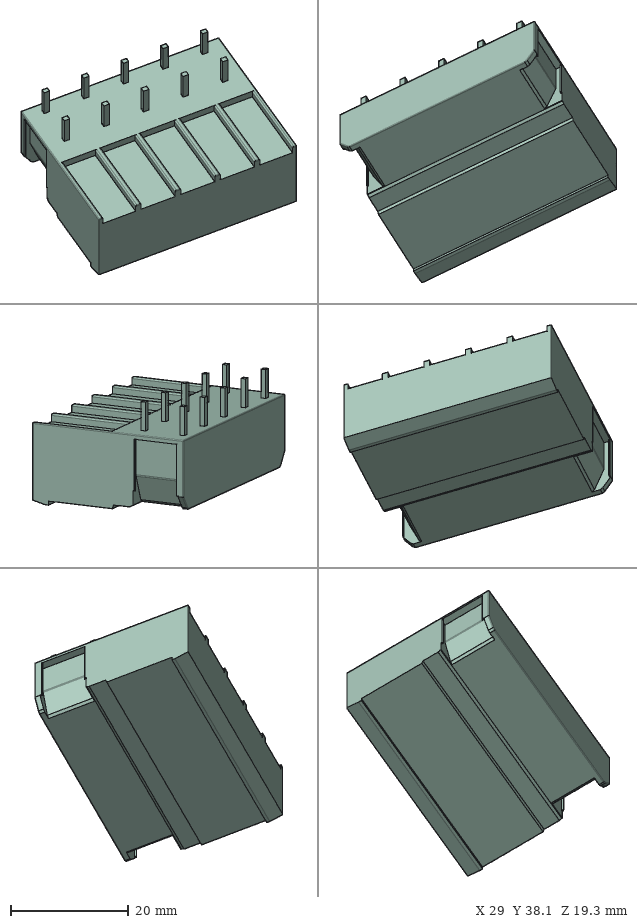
import cadquery as cq
import math

length_x = 29.0
width_y = 38.1
body_top = 14.2
total_height = 19.28
edge_radius = 0.15

front_bottom = 1.7
ledge_start = 9.83
ledge_end = 10.33
ledge_bottom = 1.4
step_start = 13.4
step_end = 13.65
rear_bottom = 0.72
lip_start = 25.95
lip_flat_end = 26.5
lip_rear_bottom = 0.57

pole_count = 5
pole_pitch = 7.62

pin_rows_x = (1.95, 9.4)
pin_size_x = 0.85
pin_size_y = 1.03
pin_embed = 0.4

recess_start = 14.02
recess_depth = 1.37
recess_width = 6.55
end_wall_width = 0.8
rim_radius = 0.25

cavity_left = 1.03
cavity_right = 9.7
cavity_top = 13.4
window_left = 1.45
window_right = 9.35
window_bottom = 4.3
window_lip = 0.23
window_chamfer = 0.15
back_depth = 1.22
back_bottom = 6.9
slope_top = 6.63
slope_top_depth = 1.25
slope_bottom = 2.15
slope_bottom_depth = 2.97
slope_edge_depth = 3.43

corner_cut_top = 4.23
corner_cut_bottom = 2.05
corner_cut_width = 1.45
corner_edge_width = 1.9


def make_body():
    """Extrude the stepped side outline and break its outer edges."""
    outline = [
        (0, front_bottom),
        (ledge_start, front_bottom),
        (ledge_end, ledge_bottom),
        (step_start, ledge_bottom),
        (step_end, rear_bottom),
        (lip_start, rear_bottom),
        (lip_start, 0),
        (lip_flat_end, 0),
        (length_x, lip_rear_bottom),
        (length_x, body_top),
        (0, body_top),
    ]
    body = cq.Workplane("XZ").polyline(outline).close().extrude(-width_y)
    corner = (
        cq.Workplane("YZ")
        .polyline([
            (0, front_bottom),
            (corner_edge_width, front_bottom),
            (corner_cut_width, corner_cut_bottom),
            (0, corner_cut_top),
        ])
        .close()
        .extrude(cavity_left)
    )
    body = body.cut(corner).cut(mirror_across_width(corner))
    rear_edges = body.edges("|Z and >X")
    return body.faces("<X or >Z").edges().add(rear_edges).fillet(edge_radius)


def mirror_across_width(shape):
    """Mirror a shape to the opposite Y side of the body."""
    return shape.mirror("XZ", (0, width_y / 2, 0))


def pole_centres():
    """Y positions of the pole centres."""
    first = (width_y - (pole_count - 1) * pole_pitch) / 2
    return [first + index * pole_pitch for index in range(pole_count)]


def make_recess(centre_y):
    """Recess with a rounded rim along both sides, open at the +X end."""
    near = max(centre_y - recess_width / 2, end_wall_width)
    far = min(centre_y + recess_width / 2, width_y - end_wall_width)
    floor = body_top - recess_depth
    round_start = body_top - rim_radius
    arc_rise = rim_radius * math.sqrt(0.5)
    arc_inset = rim_radius - arc_rise
    return (
        cq.Workplane("YZ", origin=(recess_start, 0, 0))
        .moveTo(near, floor)
        .lineTo(far, floor)
        .lineTo(far, round_start)
        .threePointArc((far + arc_inset, round_start + arc_rise), (far + rim_radius, body_top))
        .lineTo(near - rim_radius, body_top)
        .threePointArc((near - arc_inset, round_start + arc_rise), (near, round_start))
        .close()
        .extrude(length_x - recess_start)
    )


def make_cavity():
    """Cavity that deepens downwards and opens through the underside."""
    section = [
        (0, 0),
        (0, cavity_top),
        (back_depth, cavity_top),
        (back_depth, back_bottom),
        (slope_top_depth, slope_top),
        (slope_bottom_depth, slope_bottom),
        (slope_edge_depth, front_bottom),
        (slope_edge_depth, 0),
    ]
    return (
        cq.Workplane("YZ", origin=(cavity_left, 0, 0))
        .polyline(section)
        .close()
        .extrude(cavity_right - cavity_left)
    )


def make_window_post(outer_x, inner_x):
    """Lip along one upright side of the window, bevelled on its outer edge."""
    bevel_x = inner_x + math.copysign(window_chamfer, outer_x - inner_x)
    section = [
        (outer_x, 0),
        (bevel_x, 0),
        (inner_x, window_chamfer),
        (inner_x, window_lip),
        (outer_x, window_lip),
    ]
    return (
        cq.Workplane("XY", origin=(0, 0, window_bottom))
        .polyline(section)
        .close()
        .extrude(cavity_top - window_bottom)
    )


def make_side_pocket():
    """Cavity reached through the window and the wider mouth below it."""
    left_post = make_window_post(cavity_left, window_left)
    right_post = make_window_post(cavity_right, window_right)
    return make_cavity().cut(left_post).cut(right_post)


def make_pin(x, y):
    """Rectangular pin rising from the top face."""
    return (
        cq.Workplane("XY", origin=(x, y, body_top - pin_embed))
        .rect(pin_size_x, pin_size_y)
        .extrude(total_height - body_top + pin_embed)
    )


result = make_body()

side_pocket = make_side_pocket()
result = result.cut(side_pocket).cut(mirror_across_width(side_pocket))

for pole_y in pole_centres():
    result = result.cut(make_recess(pole_y))
    for pin_x in pin_rows_x:
        result = result.union(make_pin(pin_x, pole_y))